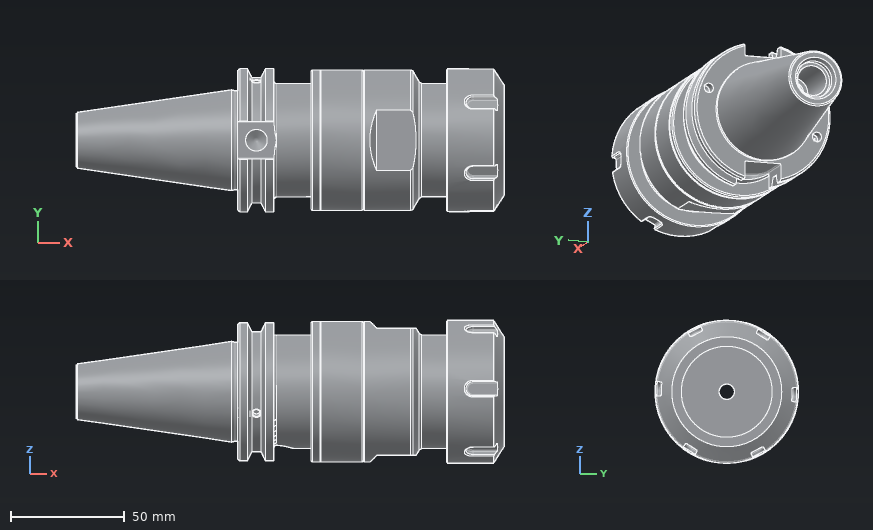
import cadquery as cq
import math


TAPER_LENGTH = 68.25
TAPER_RATIO = 7 / 24
GAUGE_RADIUS = 44.45 / 2
TAPER_END_CHAMFER = 0.6
UNDERCUT_RADIUS = GAUGE_RADIUS - 0.4
UNDERCUT_START = 1.5

FLANGE_RADIUS = 63.26 / 2
FLANGE_REAR = 2.7
FLANGE_FRONT = 18.8
FLANGE_REAR_CHAMFER = 1.0
FLANGE_FRONT_CHAMFER = 0.4
GROOVE_CENTRE = 11.0
GROOVE_RADIUS = 55.4 / 2
GROOVE_FLOOR_WIDTH = 4.0
GROOVE_FLANK_ANGLE = 27

NECK_RADIUS = 50 / 2
NECK_FILLET = 1.0
SHOULDER_NECK_BLEND = 1.1
BODY_RADIUS = 62 / 2
COLLAR_REAR = 35.0
COLLAR_FRONT = 39.2
COLLAR_CHAMFER = 0.6
SEAM_CHAMFER = 0.3

THROUGH_RADIUS = 6.65 / 2
THREAD_RADIUS = 13.39 / 2
THREAD_DEPTH = 30.0
COUNTERBORE_RADIUS = 16.3 / 2
COUNTERBORE_DEPTH = 5.0
BORE_MOUTH_RADIUS = 18.8 / 2
BORE_MOUTH_DEPTH = 2.0
STEP_MOUTH_RADIUS = 9.53 / 2
STEP_RADIUS = 8.5 / 2
STEP_LENGTH = 12.0

DRIVE_SLOT_WIDTH = 16.6
DRIVE_SLOT_CHAMFER = 0.3
DRIVE_SLOT_FLOOR_FILLET = 0.5
UPPER_SLOT_FLOOR = 25.0
LOWER_SLOT_FLOOR = 22.6
DRIVE_SLOT_CENTRE = FLANGE_FRONT
DIMPLE_RADIUS = 9.53 / 2
DRILL_TIP_ANGLE = 118
COOLANT_RADIUS = 4.2 / 2
COOLANT_PITCH_RADIUS = 26.8
COOLANT_ANGLE = 20.0
COOLANT_DEPTH = 5.4
SCREW_RADIUS = 3.24 / 2
SCREW_MOUTH_RADIUS = 4 / 2
SCREW_HOLE_BOTTOM = 24.0

RING_FRONT = 58.0
RING_FRONT_CHAMFER = 0.5

BODY_FRONT = 78.7
SHOULDER_RADIUS = 30.6
SHOULDER_START = 79.8
SHOULDER_END = 82.6
SHOULDER_END_RADIUS = 25.7
SPIGOT_FRONT = 112.0
CUT_MARGIN = 1.0
FLAT_DISTANCE = 28.0
FLAT_START = 63.9
FLAT_RUNOUT_ANGLE = 45

NUT_RADIUS = 63 / 2
NUT_REAR = 94.6
NUT_CONE_START = 115.8
NUT_FRONT = 120.0
NUT_FRONT_RADIUS = 24.2
NUT_CHAMFER = 0.5
NUT_EDGE_LENGTH = 0.6
NUT_EDGE_DROP = 0.7
NUT_OPENING_RADIUS = 20.0
SLOT_COUNT = 6
SLOT_TILT = 2.5
SLOT_WIDTH = 6.2
SLOT_FLOOR = 28.7
SLOT_END = 103.2
SLOT_CHAMFER = 0.8
SLOT_FLOOR_FILLET = 0.6


def turned(outline):
    """Solid of revolution about the X axis from a closed (x, radius) outline."""
    return outline.close().revolve(360, (0, 0, 0), (1, 0, 0))


def rod(start, end, radius):
    """Cylinder along the X axis between two positions."""
    return cq.Workplane("YZ", origin=(start, 0, 0)).circle(radius).extrude(end - start)


def shank_blank():
    rear_radius = GAUGE_RADIUS - TAPER_LENGTH * TAPER_RATIO / 2
    groove_half_floor = GROOVE_FLOOR_WIDTH / 2
    flank = (FLANGE_RADIUS - GROOVE_RADIUS) * math.tan(math.radians(GROOVE_FLANK_ANGLE))
    groove_half_mouth = groove_half_floor + flank
    outline = (
        cq.Workplane("XY")
        .moveTo(-TAPER_LENGTH, 0)
        .lineTo(-TAPER_LENGTH, rear_radius - TAPER_END_CHAMFER)
        .lineTo(-TAPER_LENGTH + TAPER_END_CHAMFER, rear_radius + TAPER_END_CHAMFER * TAPER_RATIO / 2)
        .lineTo(0, GAUGE_RADIUS)
        .lineTo(UNDERCUT_START, UNDERCUT_RADIUS)
        .lineTo(FLANGE_REAR, UNDERCUT_RADIUS)
        .lineTo(FLANGE_REAR, FLANGE_RADIUS - FLANGE_REAR_CHAMFER)
        .lineTo(FLANGE_REAR + FLANGE_REAR_CHAMFER, FLANGE_RADIUS)
        .lineTo(GROOVE_CENTRE - groove_half_mouth, FLANGE_RADIUS)
        .lineTo(GROOVE_CENTRE - groove_half_floor, GROOVE_RADIUS)
        .lineTo(GROOVE_CENTRE + groove_half_floor, GROOVE_RADIUS)
        .lineTo(GROOVE_CENTRE + groove_half_mouth, FLANGE_RADIUS)
        .lineTo(FLANGE_FRONT - FLANGE_FRONT_CHAMFER, FLANGE_RADIUS)
        .lineTo(FLANGE_FRONT, FLANGE_RADIUS - FLANGE_FRONT_CHAMFER)
        .lineTo(FLANGE_FRONT, NECK_RADIUS + NECK_FILLET)
        .radiusArc((FLANGE_FRONT + NECK_FILLET, NECK_RADIUS), -NECK_FILLET)
        .lineTo(COLLAR_REAR, NECK_RADIUS)
        .lineTo(COLLAR_REAR, BODY_RADIUS - COLLAR_CHAMFER)
        .lineTo(COLLAR_REAR + COLLAR_CHAMFER, BODY_RADIUS)
        .lineTo(COLLAR_FRONT - SEAM_CHAMFER, BODY_RADIUS)
        .lineTo(COLLAR_FRONT, BODY_RADIUS - SEAM_CHAMFER)
        .lineTo(COLLAR_FRONT, NECK_RADIUS)
        .lineTo(RING_FRONT, NECK_RADIUS)
        .lineTo(RING_FRONT, 0)
    )
    return turned(outline)


def shank_bore():
    rear = -TAPER_LENGTH
    step_rear = rear + THREAD_DEPTH
    step_mouth_depth = STEP_MOUTH_RADIUS - STEP_RADIUS
    outline = (
        cq.Workplane("XY")
        .moveTo(rear, 0)
        .lineTo(rear, BORE_MOUTH_RADIUS)
        .lineTo(rear + BORE_MOUTH_DEPTH, COUNTERBORE_RADIUS)
        .lineTo(rear + COUNTERBORE_DEPTH, COUNTERBORE_RADIUS)
        .lineTo(rear + COUNTERBORE_DEPTH, THREAD_RADIUS)
        .lineTo(step_rear, THREAD_RADIUS)
        .lineTo(step_rear, STEP_MOUTH_RADIUS)
        .lineTo(step_rear + step_mouth_depth, STEP_RADIUS)
        .lineTo(step_rear + STEP_LENGTH, STEP_RADIUS)
        .lineTo(step_rear + STEP_LENGTH, THROUGH_RADIUS)
        .lineTo(RING_FRONT, THROUGH_RADIUS)
        .lineTo(RING_FRONT, 0)
    )
    return turned(outline)


def drive_slot(floor, side):
    """Slot across the flange on the +Z (1) or -Z (-1) side, with a round front end and a chamfered mouth."""
    half_width = DRIVE_SLOT_WIDTH / 2
    mouth = math.sqrt(FLANGE_RADIUS**2 - half_width**2) - DRIVE_SLOT_CHAMFER

    def layer(bottom, taper=0):
        return (
            cq.Workplane("XY", origin=(0, 0, bottom))
            .moveTo(0, -half_width)
            .lineTo(DRIVE_SLOT_CENTRE, -half_width)
            .threePointArc((DRIVE_SLOT_CENTRE + half_width, 0), (DRIVE_SLOT_CENTRE, half_width))
            .lineTo(0, half_width)
            .close()
            .extrude(FLANGE_RADIUS - bottom, taper=taper)
        )

    walls = layer(floor).faces("<Z").edges().fillet(DRIVE_SLOT_FLOOR_FILLET)
    slot = walls.union(layer(mouth, -45))
    return slot if side > 0 else slot.mirror("XY")


def drill_tip(radius, centre, direction):
    """Cone left by a drill point."""
    depth = radius / math.tan(math.radians(DRILL_TIP_ANGLE / 2))
    return cq.Workplane(cq.Solid.makeCone(radius, 0, depth, cq.Vector(*centre), cq.Vector(*direction)))


def coolant_hole(angle):
    """Drilled axial hole in the flange's rear face and the countersunk radial screw hole that meets its tip."""
    y_share = math.cos(math.radians(angle))
    z_share = math.sin(math.radians(angle))
    y = COOLANT_PITCH_RADIUS * y_share
    z = COOLANT_PITCH_RADIUS * z_share
    bottom = FLANGE_REAR + COOLANT_DEPTH
    axial = rod(FLANGE_REAR, bottom, COOLANT_RADIUS).translate((0, y, z))
    tip = drill_tip(COOLANT_RADIUS, (bottom, y, z), (1, 0, 0))
    countersink_depth = SCREW_MOUTH_RADIUS - SCREW_RADIUS
    countersink = cq.Solid.makeCone(
        SCREW_RADIUS,
        SCREW_MOUTH_RADIUS,
        countersink_depth,
        cq.Vector(GROOVE_RADIUS - countersink_depth, 0, 0),
        cq.Vector(1, 0, 0),
    )
    radial = (
        rod(SCREW_HOLE_BOTTOM, FLANGE_RADIUS, SCREW_RADIUS)
        .union(rod(GROOVE_RADIUS, FLANGE_RADIUS, SCREW_MOUTH_RADIUS))
        .union(cq.Workplane(countersink))
        .rotate((0, 0, 0), (0, 0, 1), 90)
        .translate((GROOVE_CENTRE, 0, 0))
        .rotate((0, 0, 0), (1, 0, 0), angle)
    )
    return axial.union(tip).union(radial)


def make_shank():
    shank = shank_blank().cut(shank_bore())
    shank = shank.cut(drive_slot(UPPER_SLOT_FLOOR, 1)).cut(drive_slot(LOWER_SLOT_FLOOR, -1))
    shank = shank.cut(drill_tip(DIMPLE_RADIUS, (GROOVE_CENTRE, 0, UPPER_SLOT_FLOOR), (0, 0, -1)))
    for angle in (COOLANT_ANGLE, COOLANT_ANGLE + 180):
        shank = shank.cut(coolant_hole(angle))
    return shank


def make_ring():
    ring = rod(COLLAR_FRONT, RING_FRONT, BODY_RADIUS)
    ring = ring.faces("<X").chamfer(SEAM_CHAMFER).faces(">X").chamfer(RING_FRONT_CHAMFER)
    return ring.cut(rod(COLLAR_FRONT, RING_FRONT, NECK_RADIUS))


def wrench_flat():
    """Cutter for the flat on the +Z side, with a sloping run-out at its rear end."""
    top = BODY_RADIUS + CUT_MARGIN
    rise = top - FLAT_DISTANCE
    runout = rise / math.tan(math.radians(FLAT_RUNOUT_ANGLE))
    return (
        cq.Workplane("XZ")
        .moveTo(FLAT_START, FLAT_DISTANCE)
        .lineTo(SHOULDER_END, FLAT_DISTANCE)
        .lineTo(SHOULDER_END, top)
        .lineTo(FLAT_START - runout, top)
        .close()
        .extrude(BODY_RADIUS, both=True)
    )


def make_front_body():
    outline = (
        cq.Workplane("XY")
        .moveTo(RING_FRONT, THROUGH_RADIUS)
        .lineTo(RING_FRONT, BODY_RADIUS - RING_FRONT_CHAMFER)
        .lineTo(RING_FRONT + RING_FRONT_CHAMFER, BODY_RADIUS)
        .lineTo(BODY_FRONT, BODY_RADIUS)
        .lineTo(SHOULDER_START, SHOULDER_RADIUS)
        .lineTo(SHOULDER_END, SHOULDER_END_RADIUS)
        .lineTo(SHOULDER_END + SHOULDER_NECK_BLEND, NECK_RADIUS)
        .lineTo(SPIGOT_FRONT, NECK_RADIUS)
        .lineTo(SPIGOT_FRONT, THROUGH_RADIUS)
    )
    flat = wrench_flat()
    return turned(outline).cut(flat).cut(flat.mirror("XY"))


def spanner_slot():
    """Chamfered open slot on the +Z side of the nut, round at its rear end."""
    depth = NUT_RADIUS - SLOT_FLOOR
    radius = SLOT_WIDTH / 2
    length = NUT_FRONT - SLOT_END

    def layer(floor, height, taper=0):
        return (
            cq.Workplane("XY", origin=(SLOT_END + radius, 0, floor))
            .moveTo(length, radius)
            .lineTo(0, radius)
            .threePointArc((-radius, 0), (0, -radius))
            .lineTo(length, -radius)
            .close()
            .extrude(height, taper=taper)
        )

    walls = layer(SLOT_FLOOR, depth).faces("<Z").edges().fillet(SLOT_FLOOR_FILLET)
    chamfer = layer(NUT_RADIUS - SLOT_CHAMFER, SLOT_CHAMFER, -45)
    return walls.union(chamfer)


def make_nut():
    outline = (
        cq.Workplane("XY")
        .moveTo(NUT_REAR, NECK_RADIUS)
        .lineTo(NUT_REAR, NUT_RADIUS - NUT_CHAMFER)
        .lineTo(NUT_REAR + NUT_CHAMFER, NUT_RADIUS)
        .lineTo(NUT_CONE_START - NUT_EDGE_LENGTH, NUT_RADIUS)
        .lineTo(NUT_CONE_START, NUT_RADIUS - NUT_EDGE_DROP)
        .lineTo(NUT_FRONT, NUT_FRONT_RADIUS)
        .lineTo(NUT_FRONT, NUT_OPENING_RADIUS)
        .lineTo(SPIGOT_FRONT, NUT_OPENING_RADIUS)
        .lineTo(SPIGOT_FRONT, NECK_RADIUS)
    )
    nut = turned(outline)
    for index in range(SLOT_COUNT):
        angle = 360 / SLOT_COUNT / 2 - SLOT_TILT + index * 360 / SLOT_COUNT
        nut = nut.cut(spanner_slot().rotate((0, 0, 0), (1, 0, 0), angle))
    return nut


shank = make_shank()
ring = make_ring()
front_body = make_front_body()
nut = make_nut()

result = cq.Compound.makeCompound([shank.val(), ring.val(), front_body.val(), nut.val()])